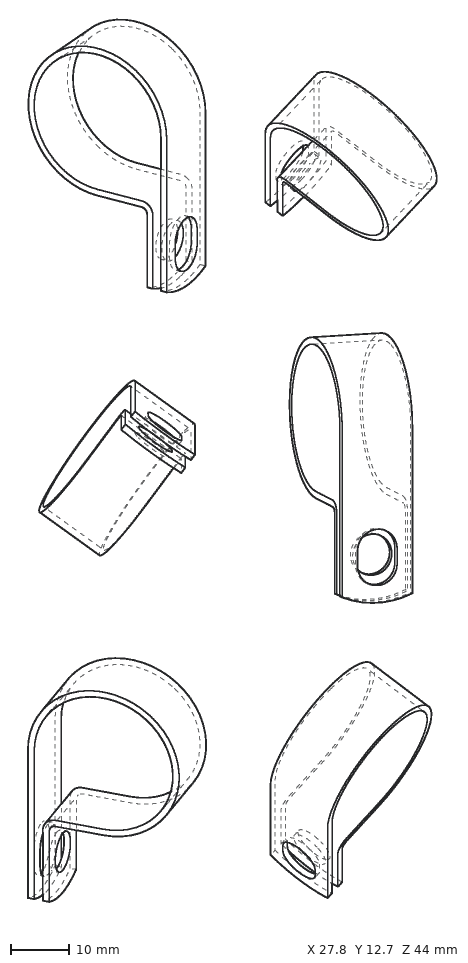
import cadquery as cq
import math

height = 44.0
width = 12.7
outer_radius = 13.9
thickness = 1.2
leg_gap = 1.6
bend_inner_radius = 1.1
hole_diameter = 7.15
slot_length = 9.77
hole_height = 7.92
tip_rise = 1.3

inner_radius = outer_radius - thickness
loop_z = height - outer_radius
bend_outer_radius = bend_inner_radius + thickness
short_leg_outer_x = inner_radius - leg_gap
short_leg_inner_x = short_leg_outer_x - thickness
bend_x = short_leg_outer_x - bend_outer_radius
flat_top_z = loop_z - inner_radius
flat_bottom_z = loop_z - outer_radius
bend_z = flat_top_z - bend_outer_radius
diagonal = math.sqrt(0.5)


def make_strap():
    """Bent strip: long leg, three-quarter loop, flat, bend and short leg."""
    return (
        cq.Workplane("XZ")
        .moveTo(outer_radius, 0)
        .lineTo(outer_radius, loop_z)
        .threePointArc(
            (-outer_radius * diagonal, loop_z + outer_radius * diagonal),
            (0, flat_bottom_z),
        )
        .lineTo(bend_x, flat_bottom_z)
        .threePointArc(
            (bend_x + bend_inner_radius * diagonal, bend_z + bend_inner_radius * diagonal),
            (short_leg_inner_x, bend_z),
        )
        .lineTo(short_leg_inner_x, 0)
        .lineTo(short_leg_outer_x, 0)
        .lineTo(short_leg_outer_x, bend_z)
        .threePointArc(
            (bend_x + bend_outer_radius * diagonal, bend_z + bend_outer_radius * diagonal),
            (bend_x, flat_top_z),
        )
        .lineTo(0, flat_top_z)
        .threePointArc(
            (-inner_radius * diagonal, loop_z + inner_radius * diagonal),
            (inner_radius, loop_z),
        )
        .lineTo(inner_radius, 0)
        .close()
        .extrude(width / 2, both=True)
    )


def make_tip_envelope():
    """Block across the whole strap whose underside rounds the leg tips."""
    return (
        cq.Workplane("YZ")
        .moveTo(-width / 2, tip_rise)
        .threePointArc((0, 0), (width / 2, tip_rise))
        .lineTo(width / 2, height)
        .lineTo(-width / 2, height)
        .close()
        .extrude(outer_radius, both=True)
    )


def make_bolt_hole():
    """Round hole along X through the short leg."""
    return (
        cq.Workplane("YZ")
        .center(0, hole_height)
        .circle(hole_diameter / 2)
        .extrude(short_leg_outer_x)
    )


def make_adjustment_slot():
    """Vertical slot along X through the long leg, as wide as the bolt hole."""
    return (
        cq.Workplane("YZ", origin=(inner_radius, 0, hole_height))
        .slot2D(slot_length, hole_diameter, 90)
        .extrude(thickness)
    )


strap = make_strap().intersect(make_tip_envelope())
result = strap.cut(make_bolt_hole()).cut(make_adjustment_slot())